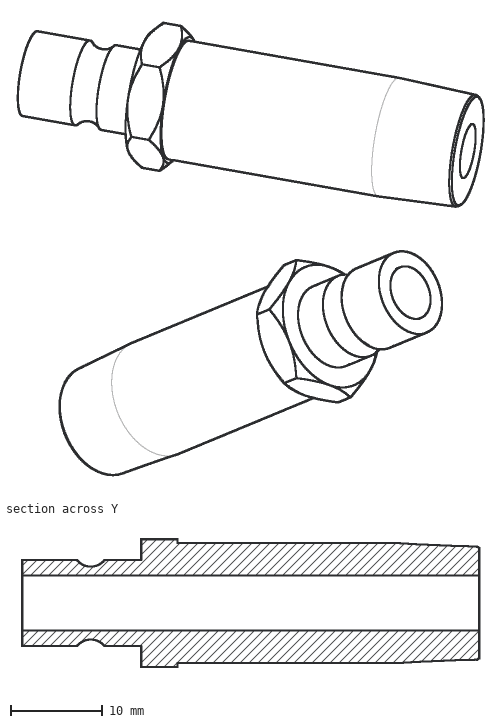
import cadquery as cq
import math

length = 50.0
hex_start = 13.0
hex_width = 4.0
hex_end = hex_start + hex_width
taper_start = 41.0
end_chamfer_width = 0.25
taper_end = length - end_chamfer_width

bore_diameter = 6.0
spigot_radius = 9.45 / 2
body_radius = 13.2 / 2
taper_end_radius = 12.45 / 2
end_face_radius = 12.1 / 2
across_flats = 14.0
corner_radius = across_flats / 2 / math.cos(math.radians(30))
hex_chamfer_width = 1.0

groove_center = 7.5
groove_half_width = 1.5
groove_depth = 0.7


def revolve_about_x(profile):
    """Turn a closed XY profile a full turn about the X axis."""
    return profile.close().revolve(360, (0, 0, 0), (1, 0, 0))


def make_turned_body():
    """Spigot with its groove, cylindrical body and tapered, chamfered tail."""
    profile = (
        cq.Workplane("XY")
        .lineTo(0, spigot_radius)
        .lineTo(groove_center - groove_half_width, spigot_radius)
        .threePointArc(
            (groove_center, spigot_radius - groove_depth),
            (groove_center + groove_half_width, spigot_radius),
        )
        .lineTo(hex_start, spigot_radius)
        .lineTo(hex_start, body_radius)
        .lineTo(taper_start, body_radius)
        .lineTo(taper_end, taper_end_radius)
        .lineTo(length, end_face_radius)
        .lineTo(length, 0)
    )
    return revolve_about_x(profile)


def make_hexagon():
    """Hexagon with corners on the Y axis, its corners turned off at both faces."""
    prism = (
        cq.Workplane("YZ")
        .workplane(offset=hex_start)
        .polygon(6, 2 * corner_radius)
        .extrude(hex_width)
    )
    face_radius = across_flats / 2
    envelope = (
        cq.Workplane("XY")
        .moveTo(hex_start, 0)
        .lineTo(hex_start, face_radius)
        .lineTo(hex_start + hex_chamfer_width, corner_radius)
        .lineTo(hex_end - hex_chamfer_width, corner_radius)
        .lineTo(hex_end, face_radius)
        .lineTo(hex_end, 0)
    )
    return prism.intersect(revolve_about_x(envelope))


bore = cq.Workplane("YZ").circle(bore_diameter / 2).extrude(length)
result = make_turned_body().union(make_hexagon()).cut(bore)